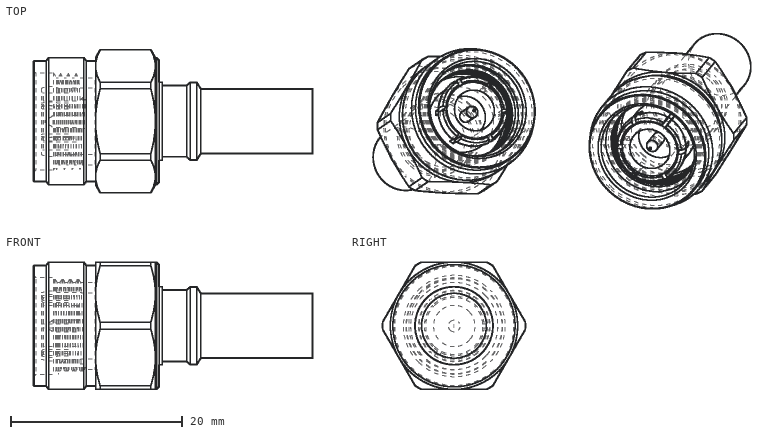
import cadquery as cq
import math

LENGTH = 32.55
ACROSS_FLATS = 14.85
ACROSS_CORNERS = 16.65

FRONT_RADIUS = 7.03
FRONT_CHAMFER = 0.1
BAND_RADIUS = ACROSS_FLATS / 2
BAND_START = 1.5
BAND_END = 6.2
BAND_CHAMFER = 0.3
HEX_SIDES = 6
HEX_START = 7.25
HEX_END = 14.22
HEX_CHAMFER_ANGLE = 30.0
NUT_END = 14.65
NUT_END_CHAMFER = 0.3

SHOULDER_RADIUS = 4.55
SHOULDER_END = 15.05
NECK_RADIUS = 4.17
RING_START = 17.87
RING_END = 19.53
RING_RADIUS = 4.52
RING_FRONT_CHAMFER = 0.4
RING_BACK_CHAMFER = 0.5
TAIL_RADIUS = 3.78

MOUTH_RADIUS = 5.92
MOUTH_CHAMFER = 0.3
BORE_RADIUS = MOUTH_RADIUS - MOUTH_CHAMFER
BORE_DEPTH = 2.35
INNER_BORE_RADIUS = 5.08
BORE_STEP_LENGTH = 0.33
CAVITY_DEPTH = 7.15

THREAD_MAJOR_RADIUS = 5.55
THREAD_PITCH = 0.9
THREAD_TURNS = 4
THREAD_ANGLE = 60.0
THREAD_OVERLAP = 0.05
THREAD_START = 2.08
THREAD_START_ANGLE = 30.0

COLLAR_FRONT = 0.95
COLLAR_FACE_INNER_RADIUS = 3.48
COLLAR_RADIUS = 3.87
COLLAR_LIP_RADIUS = 4.1
COLLAR_LIP_LENGTH = 1.95
SLOT_COUNT = 6
SLOT_WIDTH = 0.5
SLOT_DEPTH = 3.25

INSULATOR_FRONT = 1.17
INSULATOR_RADIUS = 3.32
INSULATOR_BORE_RADIUS = 2.4
INSULATOR_BORE_DEPTH = 5.2
PIN_FRONT = 1.35
PIN_RADIUS = 0.68
PIN_TIP_RADIUS = 0.13
PIN_TIP_LENGTH = 0.8
PIN_CHAMFER = 0.1


def turned(points):
    """Revolve a closed (x, radius) outline about the connector axis."""
    outline = cq.Workplane("XY").polyline(points).close()
    return outline.revolve(360, (0, 0, 0), (1, 0, 0))


def cylinder(start, end, radius):
    return turned([(start, 0), (start, radius), (end, radius), (end, 0)])


def make_turned_body():
    return turned([
        (0, 0),
        (0, FRONT_RADIUS - FRONT_CHAMFER),
        (FRONT_CHAMFER, FRONT_RADIUS),
        (BAND_START, FRONT_RADIUS),
        (BAND_START + BAND_CHAMFER, BAND_RADIUS),
        (BAND_END - BAND_CHAMFER, BAND_RADIUS),
        (BAND_END, FRONT_RADIUS),
        (HEX_START, FRONT_RADIUS),
        (HEX_START, BAND_RADIUS),
        (NUT_END - NUT_END_CHAMFER, BAND_RADIUS),
        (NUT_END, BAND_RADIUS - NUT_END_CHAMFER),
        (NUT_END, SHOULDER_RADIUS),
        (SHOULDER_END, SHOULDER_RADIUS),
        (SHOULDER_END, NECK_RADIUS),
        (RING_START, NECK_RADIUS),
        (RING_START + RING_FRONT_CHAMFER, RING_RADIUS),
        (RING_END - RING_BACK_CHAMFER, RING_RADIUS),
        (RING_END, TAIL_RADIUS),
        (LENGTH, TAIL_RADIUS),
        (LENGTH, 0),
    ])


def make_hexagon():
    """Hexagon with flats facing +Z and -Z, turned down at the corners and both ends."""
    sharp_corners = ACROSS_FLATS / math.cos(math.pi / HEX_SIDES)
    prism = (
        cq.Workplane("YZ")
        .workplane(offset=HEX_START)
        .polygon(HEX_SIDES, sharp_corners)
        .extrude(HEX_END - HEX_START)
    )
    corner_radius = ACROSS_CORNERS / 2
    chamfer_length = (corner_radius - BAND_RADIUS) * math.tan(math.radians(HEX_CHAMFER_ANGLE))
    envelope = turned([
        (HEX_START, 0),
        (HEX_START, BAND_RADIUS),
        (HEX_START + chamfer_length, corner_radius),
        (HEX_END - chamfer_length, corner_radius),
        (HEX_END, BAND_RADIUS),
        (HEX_END, 0),
    ])
    return prism.intersect(envelope)


def make_cavity():
    return turned([
        (0, 0),
        (0, MOUTH_RADIUS),
        (MOUTH_CHAMFER, BORE_RADIUS),
        (BORE_DEPTH, BORE_RADIUS),
        (BORE_DEPTH + BORE_STEP_LENGTH, INNER_BORE_RADIUS),
        (CAVITY_DEPTH, INNER_BORE_RADIUS),
        (CAVITY_DEPTH, 0),
    ])


def make_thread_groove():
    """Helical V groove that runs out into the bore step at the open end."""
    base_radius = INNER_BORE_RADIUS - THREAD_OVERLAP
    half_width = (THREAD_MAJOR_RADIUS - base_radius) * math.tan(math.radians(THREAD_ANGLE / 2))
    height = THREAD_TURNS * THREAD_PITCH
    path = cq.Wire.makeHelix(THREAD_PITCH, height, base_radius)
    profile = cq.Workplane("XZ").polyline([
        (base_radius, -half_width),
        (THREAD_MAJOR_RADIUS, 0),
        (base_radius, half_width),
    ]).close()
    groove = profile.sweep(cq.Workplane(obj=path), isFrenet=True)
    groove = groove.rotate((0, 0, 0), (0, 0, 1), THREAD_START_ANGLE)
    return groove.rotate((0, 0, 0), (0, 1, 0), 90).translate((THREAD_START, 0, 0))


def make_collar():
    """Contact collar split into spring fingers by evenly spaced radial slots."""
    inner_chamfer = COLLAR_FACE_INNER_RADIUS - INSULATOR_RADIUS
    collar_outline = (
        cq.Workplane("XY")
        .moveTo(COLLAR_FRONT + inner_chamfer, INSULATOR_RADIUS)
        .lineTo(COLLAR_FRONT, COLLAR_FACE_INNER_RADIUS)
        .lineTo(COLLAR_FRONT, COLLAR_RADIUS)
        .threePointArc(
            (COLLAR_FRONT + COLLAR_LIP_LENGTH / 2, COLLAR_LIP_RADIUS),
            (COLLAR_FRONT + COLLAR_LIP_LENGTH, COLLAR_RADIUS),
        )
        .lineTo(CAVITY_DEPTH, COLLAR_RADIUS)
        .lineTo(CAVITY_DEPTH, INSULATOR_RADIUS)
        .close()
    )
    collar = collar_outline.revolve(360, (0, 0, 0), (1, 0, 0))
    slot = (
        cq.Workplane("XY")
        .box(SLOT_DEPTH, BORE_RADIUS, SLOT_WIDTH, centered=(False, False, True))
        .translate((COLLAR_FRONT, 0, 0))
    )
    for index in range(SLOT_COUNT):
        collar = collar.cut(slot.rotate((0, 0, 0), (1, 0, 0), index * 360.0 / SLOT_COUNT))
    return collar


def make_pin():
    return turned([
        (PIN_FRONT, 0),
        (PIN_FRONT, PIN_TIP_RADIUS),
        (PIN_FRONT + PIN_TIP_LENGTH, PIN_RADIUS - PIN_CHAMFER),
        (PIN_FRONT + PIN_TIP_LENGTH + PIN_CHAMFER, PIN_RADIUS),
        (INSULATOR_BORE_DEPTH, PIN_RADIUS),
        (INSULATOR_BORE_DEPTH, 0),
    ])


insulator = cylinder(INSULATOR_FRONT, CAVITY_DEPTH, INSULATOR_RADIUS)
insulator_bore = cylinder(INSULATOR_FRONT, INSULATOR_BORE_DEPTH, INSULATOR_BORE_RADIUS)

connector = make_turned_body().union(make_hexagon()).cut(make_cavity()).cut(make_thread_groove())
connector = connector.union(make_collar()).union(insulator)
result = connector.cut(insulator_bore).union(make_pin())